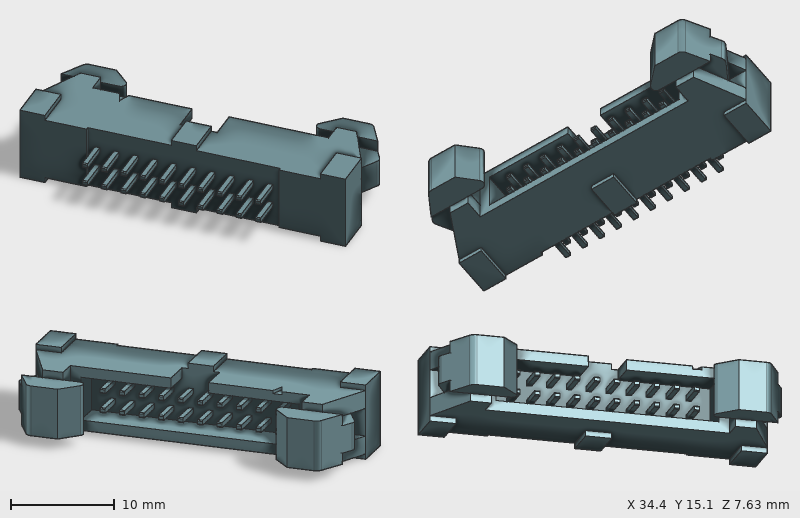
import cadquery as cq
import math


end_x = 16.95
body_height = 6.53
block_height = 7.63
shoulder_y = 4.15
body_front_y = 7.25
tower_front_y = 9.3
tower_inner_x = 12.27
tower_outer_x = 14.37
block_length = 2.6
recess_half_length = 10.0
recess_depth = 0.3

wall = 1.05
cavity_length = 2 * (tower_inner_x - wall)
cavity_height = body_height - 2 * wall
cavity_depth = body_front_y - shoulder_y
key_slot_length = 3.85

mark_width = 0.95
mark_length = 1.25
mark_depth = 0.3

pins_per_row = 10
row_length = 18.0
pitch = row_length / (pins_per_row - 1)
pin_width = 0.5
pin_chamfer = 0.1
pin_rear_y = -2.92
pin_front_y = body_front_y - pin_chamfer

overall_length = 34.38
arm_width = 2.82
hook_width = 5.12
hook_rear_y = 9.52
hook_front_y = 12.17
hook_bevel_x = 11.8
elbow_y = 8.1
lean = math.radians(30)
round_radius = 0.72
tip_radius = 0.55
elbow_x = overall_length / 2 + round_radius * (1 / math.cos(lean) - 1)


def box_between(x_range, y_range, height):
    """Box over the given X and Y ranges, centred on Z = 0."""
    (x0, x1), (y0, y1) = x_range, y_range
    return (
        cq.Workplane("XY")
        .box(x1 - x0, y1 - y0, height)
        .translate(((x0 + x1) / 2, (y0 + y1) / 2, 0))
    )


def prism(points, height):
    """Closed XY outline extruded evenly to both sides of Z = 0."""
    return cq.Workplane("XY").polyline(points).close().extrude(height / 2, both=True)


def housing_shell():
    """Flat body with latch towers, rear relief, raised end blocks and centre pad."""
    right_half = [
        (recess_half_length, recess_depth),
        (recess_half_length, 0),
        (end_x, 0),
        (end_x, shoulder_y),
        (tower_outer_x, tower_front_y),
        (tower_inner_x, tower_front_y),
        (tower_inner_x, body_front_y),
    ]
    left_half = [(-x, y) for x, y in reversed(right_half)]
    shell = prism(right_half + left_half, body_height)
    for block_x, rear_y in [
        (-end_x + block_length / 2, 0),
        (0, recess_depth),
        (end_x - block_length / 2, 0),
    ]:
        x_range = (block_x - block_length / 2, block_x + block_length / 2)
        shell = shell.union(box_between(x_range, (rear_y, shoulder_y), block_height))
    return shell


def mating_cavity():
    """Pocket open to the front, with a key slot through the upper wall."""
    y_range = (shoulder_y, body_front_y)
    half = cavity_length / 2
    pocket = box_between((-half, half), y_range, cavity_height)
    key_slot = (
        cq.Workplane("XY")
        .box(key_slot_length, cavity_depth, block_height / 2, centered=(True, False, False))
        .translate((0, shoulder_y, 0))
    )
    return pocket.union(key_slot)


def latch_slots():
    """Slots that split each tower into two cheeks, open to the front and both sides."""
    y_range = (shoulder_y, tower_front_y)
    right = box_between((tower_inner_x, end_x), y_range, arm_width)
    return right.union(right.mirror("YZ"))


def pin_one_mark():
    """Triangle sunk into the upper wall above the first pin."""
    first_pin_x = -row_length / 2
    return (
        cq.Workplane("XY", origin=(first_pin_x, body_front_y, body_height / 2))
        .polyline([(-mark_width / 2, 0), (mark_width / 2, 0), (0, -mark_length)])
        .close()
        .extrude(-mark_depth)
    )


def contact_pin(x, z):
    """Square pin along Y, both ends chamfered on the upper and lower sides."""
    return (
        cq.Workplane("XY")
        .box(pin_width, pin_front_y - pin_rear_y, pin_width)
        .faces("<Y or >Y")
        .edges("|X")
        .chamfer(pin_chamfer)
        .translate((x, (pin_front_y + pin_rear_y) / 2, z))
    )


def make_housing():
    """Housing with its two rows of moulded-in pins."""
    housing = housing_shell().cut(mating_cavity()).cut(latch_slots()).cut(pin_one_mark())
    for column in range(pins_per_row):
        pin_x = column * pitch - row_length / 2
        for pin_z in (-pitch / 2, pitch / 2):
            housing = housing.union(contact_pin(pin_x, pin_z))
    return housing


def outer_side_x(y):
    """X of the leaning outer side of the right latch at height y."""
    return elbow_x - abs(y - elbow_y) * math.tan(lean)


def make_right_latch():
    """Arm that fills the right slot, with a wider hook head in front."""
    arm = prism(
        [
            (tower_inner_x, shoulder_y),
            (outer_side_x(shoulder_y), shoulder_y),
            (elbow_x, elbow_y),
            (outer_side_x(hook_rear_y), hook_rear_y),
            (tower_inner_x, hook_rear_y),
        ],
        arm_width,
    )
    arm = arm.edges("|Z and >X").fillet(round_radius)

    sharp_tip_x = hook_bevel_x - (hook_front_y - hook_rear_y)
    front_corner_x = outer_side_x(hook_front_y)
    head = prism(
        [
            (sharp_tip_x, hook_rear_y),
            (outer_side_x(hook_rear_y), hook_rear_y),
            (front_corner_x, hook_front_y),
            (hook_bevel_x, hook_front_y),
        ],
        hook_width,
    )
    head = head.edges("|Z and <X").fillet(tip_radius)
    front_corner = cq.selectors.NearestToPointSelector((front_corner_x, hook_front_y, 0))
    head = head.edges("|Z").edges(front_corner).fillet(round_radius)
    return arm.union(head)


housing = make_housing()
right_latch = make_right_latch()
left_latch = right_latch.mirror("YZ")

result = cq.Compound.makeCompound([housing.val(), left_latch.val(), right_latch.val()])